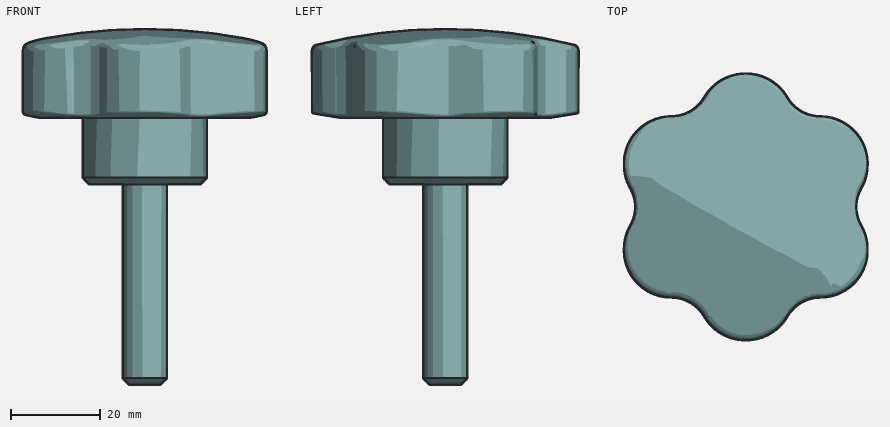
import cadquery as cq
import math

total_height = 80.0
hub_bottom = 45.0
head_bottom = 60.0

stud_diameter = 10.0
hub_diameter = 28.0
end_chamfer = 1.5

lobe_count = 6
head_radius = 30.0
lobe_radius = 10.8
valley_radius = 8.5

crown_radius = 120.0
flat_radius = 23.6
underside_rise = 1.0
top_fillet = 1.5
bottom_fillet = 0.6
blank_margin = 4.0


def polar(radius, angle):
    """Point at an angle measured from +Y, clockwise."""
    return (radius * math.sin(angle), radius * math.cos(angle))


def lobed_outline():
    """Closed outline of convex lobes joined by tangent concave valleys."""
    half_pitch = math.pi / lobe_count
    lobe_center = head_radius - lobe_radius
    center_gap = lobe_radius + valley_radius
    valley_center = lobe_center * math.cos(half_pitch) + math.sqrt(
        center_gap**2 - (lobe_center * math.sin(half_pitch)) ** 2
    )
    share = lobe_radius / center_gap
    tangent_x = share * valley_center * math.sin(half_pitch)
    tangent_y = lobe_center + share * (valley_center * math.cos(half_pitch) - lobe_center)
    tangent_radius = math.hypot(tangent_x, tangent_y)
    tangent_angle = math.atan2(tangent_x, tangent_y)

    outline = cq.Workplane("XY").moveTo(*polar(tangent_radius, -tangent_angle))
    for index in range(lobe_count):
        lobe_angle = 2 * half_pitch * index
        valley_angle = lobe_angle + half_pitch
        next_lobe_angle = valley_angle + half_pitch
        outline = outline.threePointArc(
            polar(head_radius, lobe_angle),
            polar(tangent_radius, lobe_angle + tangent_angle),
        )
        outline = outline.threePointArc(
            polar(valley_center - valley_radius, valley_angle),
            polar(tangent_radius, next_lobe_angle - tangent_angle),
        )
    return outline.close()


def crown_height(radius):
    """Height of the spherical crown at a distance from the axis."""
    return total_height - crown_radius + math.sqrt(crown_radius**2 - radius**2)


def make_head():
    blank_radius = head_radius + blank_margin
    cone_slope = underside_rise / (head_radius - flat_radius)
    blank_rise = cone_slope * (blank_radius - flat_radius)
    blank = (
        cq.Workplane("XZ")
        .moveTo(0, head_bottom)
        .lineTo(flat_radius, head_bottom)
        .lineTo(blank_radius, head_bottom + blank_rise)
        .lineTo(blank_radius, crown_height(blank_radius))
        .threePointArc((blank_radius / 2, crown_height(blank_radius / 2)), (0, total_height))
        .close()
        .revolve(360, (0, 0), (0, 1))
    )
    head = lobed_outline().extrude(total_height).intersect(blank)
    head = head.faces(">Z").edges("not %LINE").fillet(top_fillet)
    return head.faces("%CONE").edges("(not %LINE) and (not <Z)").fillet(bottom_fillet)


def make_round(diameter, bottom, top):
    """Upright cylinder with its lower end chamfered."""
    return (
        cq.Workplane("XY")
        .workplane(offset=bottom)
        .circle(diameter / 2)
        .extrude(top - bottom)
        .faces("<Z")
        .chamfer(end_chamfer)
    )


stud = make_round(stud_diameter, 0, hub_bottom)
hub = make_round(hub_diameter, hub_bottom, head_bottom)
result = make_head().union(hub).union(stud)